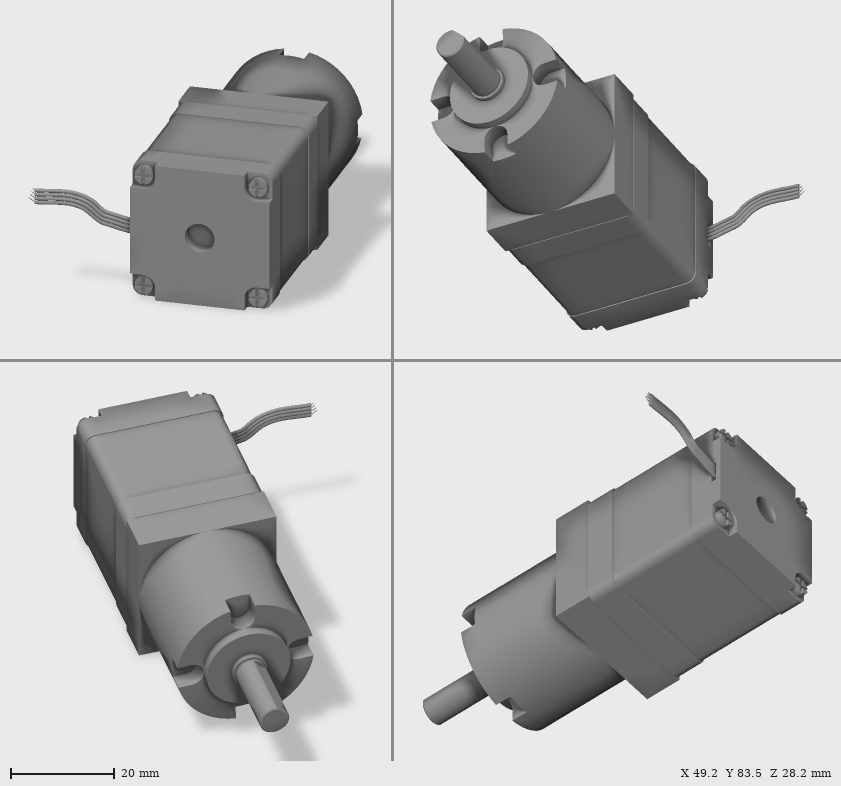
import cadquery as cq
import math


TOTAL_LENGTH = 83.5
CABLE_REACH = 35.0

MOTOR_WIDTH = 28.2
CORE_WIDTH = 27.8
CORNER_RADIUS = 2.0
REAR_CAP_LENGTH = 7.2
CORE_LENGTH = 19.9
FRONT_CAP_LENGTH = 6.0
REAR_HOLE_DIAMETER = 6.0
REAR_HOLE_DEPTH = 3.0

SCREW_OFFSET = 11.5
SCREW_HEAD_DIAMETER = 3.7
SCREW_HEAD_HEIGHT = 1.5
CORNER_COUNT = 4
POCKET_RADIUS = 2.5
POCKET_DEPTH = 2.0
CROSS_WIDTH = 0.75
CROSS_DEPTH = 0.5

SOCKET_LENGTH = 4.85
SOCKET_WIDTH = 1.25
SOCKET_DEPTH = 1.0
SOCKET_FLOOR = -MOTOR_WIDTH / 2 + SOCKET_DEPTH
CABLE_Y = 1.7
WIRE_COUNT = 4
WIRE_DIAMETER = 0.75
WIRE_PITCH = 0.8
INSULATION_REACH = 33.7
BARE_DIAMETER = 0.2
BARE_ANGLE = 34.0
BARE_LENGTH_STEP = 0.3
BARE_ROOT = 0.25
RIBBON_PATH = (
    (SOCKET_FLOOR, 0.25, 0),
    (-19.4, 1.3, 10),
    (-22.2, 3.2, 38),
    (-25.9, 4.6, 8),
    (-INSULATION_REACH, 4.3, 0),
)

GEARBOX_WIDTH = 28.0
ADAPTER_LENGTH = 8.0
RING_LENGTH = 15.9
FLANGE_LENGTH = 8.0
BOSS_DIAMETER = 17.0
BOSS_LENGTH = 2.0
COLLAR_DIAMETER = 7.0
COLLAR_LENGTH = 1.0
HEAD_ANGLE = 2.4
NOTCH_COUNT = 4
NOTCH_WIDTH = 5.0
NOTCH_DEPTH = 3.5
NOTCH_FLOOR_RADIUS = BOSS_DIAMETER / 2

SHAFT_DIAMETER = 6.0
SHAFT_CHAMFER = 0.25
FLAT_DISTANCE = 2.5
FLAT_LENGTH = 14.95
FLAT_ANGLE = 135.0

CORE_START = REAR_CAP_LENGTH
FRONT_CAP_START = CORE_START + CORE_LENGTH
ADAPTER_START = FRONT_CAP_START + FRONT_CAP_LENGTH
RING_START = ADAPTER_START + ADAPTER_LENGTH
FLANGE_START = RING_START + RING_LENGTH
BOSS_START = FLANGE_START + FLANGE_LENGTH
COLLAR_START = BOSS_START + BOSS_LENGTH
SHAFT_START = COLLAR_START + COLLAR_LENGTH
SHAFT_LENGTH = TOTAL_LENGTH - SHAFT_START


def cross_section(y):
    """Workplane at the given Y: local x is X, local y is Z, and extrusion goes towards +Y."""
    return cq.Workplane(cq.Plane(origin=(0, y, 0), xDir=(1, 0, 0), normal=(0, -1, 0)))


def square_block(start, length, width):
    return cross_section(start).rect(width, width).extrude(-length)


def rounded_block(start, length, width):
    return square_block(start, length, width).edges("|Y").fillet(CORNER_RADIUS)


def cylinder(start, length, diameter):
    return cross_section(start).circle(diameter / 2).extrude(-length)


def turned(body, degrees):
    """Turn a body about the shaft axis, from +X towards +Z."""
    return body.rotate((0, 0, 0), (0, 1, 0), -degrees)


def corner_pocket():
    """Round pocket at the +X +Z screw, opened to both outer sides of the corner."""
    pocket = cross_section(0).center(SCREW_OFFSET, SCREW_OFFSET).circle(POCKET_RADIUS).extrude(-POCKET_DEPTH)
    long_side = 2 * POCKET_RADIUS
    reach = MOTOR_WIDTH / 2 - SCREW_OFFSET + POCKET_RADIUS
    near_side = SCREW_OFFSET - POCKET_RADIUS
    for x_size, z_size, x_start, z_start in (
        (reach, long_side, SCREW_OFFSET, near_side),
        (long_side, reach, near_side, SCREW_OFFSET),
    ):
        opening = cross_section(0).rect(x_size, z_size, centered=False).extrude(-POCKET_DEPTH)
        pocket = pocket.union(opening.translate((x_start, 0, z_start)))
    return pocket


def screw_head():
    """Cross-slotted head standing on the floor of the +X +Z pocket."""
    head_top = POCKET_DEPTH - SCREW_HEAD_HEIGHT
    head = cylinder(head_top, SCREW_HEAD_HEIGHT, SCREW_HEAD_DIAMETER)
    for slot_size in ((SCREW_HEAD_DIAMETER, CROSS_WIDTH), (CROSS_WIDTH, SCREW_HEAD_DIAMETER)):
        head = head.cut(cross_section(head_top).rect(*slot_size).extrude(-CROSS_DEPTH))
    return head.translate((SCREW_OFFSET, 0, SCREW_OFFSET))


def cable_socket():
    """Shallow recess in the -X side of the motor, where the wires enter."""
    recess = cq.Workplane().box(SOCKET_DEPTH, SOCKET_WIDTH, SOCKET_LENGTH)
    return recess.translate((SOCKET_FLOOR - SOCKET_DEPTH / 2, CABLE_Y, 0))


def bare_end(insulation_end, index):
    """Straight bare core rising out of the end of an insulated wire."""
    angle = math.radians(BARE_ANGLE)
    longest = (CABLE_REACH - INSULATION_REACH) / math.cos(angle)
    length = longest - BARE_LENGTH_STEP * index
    direction = cq.Vector(-math.cos(angle), 0, math.sin(angle))
    root = insulation_end - direction * BARE_ROOT
    plane = cq.Plane(origin=root.toTuple(), xDir=(0, 1, 0), normal=direction.toTuple())
    return cq.Workplane(plane).circle(BARE_DIAMETER / 2).extrude(BARE_ROOT + length)


def wire(index):
    """One insulated wire with its bare end, counted from the bottom of the ribbon."""
    offset = WIRE_PITCH * (index - (WIRE_COUNT - 1) / 2)
    points = []
    headings = []
    for x, z, heading in RIBBON_PATH:
        angle = math.radians(heading)
        points.append(cq.Vector(x + offset * math.sin(angle), CABLE_Y, z + offset * math.cos(angle)))
        headings.append(cq.Vector(-math.cos(angle), 0, math.sin(angle)))
    path = cq.Workplane(cq.Edge.makeSpline(points, tangents=headings, scale=False))
    start = cq.Plane(origin=points[0].toTuple(), xDir=(0, 1, 0), normal=(-1, 0, 0))
    insulation = cq.Workplane(start).circle(WIRE_DIAMETER / 2).sweep(path)
    return insulation.union(bare_end(points[-1], index))


def motor():
    """Motor case with its screws and cable."""
    body = rounded_block(0, REAR_CAP_LENGTH, MOTOR_WIDTH)
    body = body.union(rounded_block(CORE_START, CORE_LENGTH, CORE_WIDTH))
    body = body.union(rounded_block(FRONT_CAP_START, FRONT_CAP_LENGTH, MOTOR_WIDTH))
    body = body.cut(cylinder(0, REAR_HOLE_DEPTH, REAR_HOLE_DIAMETER))
    body = body.cut(cable_socket())
    for corner in range(CORNER_COUNT):
        body = body.cut(turned(corner_pocket(), 360 / CORNER_COUNT * corner))
        body = body.union(turned(screw_head(), 360 / CORNER_COUNT * corner))
    for index in range(WIRE_COUNT):
        body = body.union(wire(index))
    return body.solids()


def adapter():
    return square_block(ADAPTER_START, ADAPTER_LENGTH, GEARBOX_WIDTH)


def ring_gear():
    return cylinder(RING_START, RING_LENGTH, GEARBOX_WIDTH)


def flange_notch():
    """Round-bottomed notch in the +X side of the flange, open at its front face."""
    notch_start = BOSS_START - NOTCH_DEPTH
    round_center = NOTCH_FLOOR_RADIUS + NOTCH_WIDTH / 2
    reach = GEARBOX_WIDTH / 2 + NOTCH_WIDTH
    notch = cylinder(notch_start, NOTCH_DEPTH, NOTCH_WIDTH).translate((round_center, 0, 0))
    opening = cross_section(notch_start).rect(reach, NOTCH_WIDTH).extrude(-NOTCH_DEPTH)
    return notch.union(opening.translate((round_center + reach / 2, 0, 0)))


def output_shaft():
    """Chamfered D-shaft whose flat runs back from the tip."""
    shaft = cylinder(SHAFT_START, SHAFT_LENGTH, SHAFT_DIAMETER).faces(">Y").chamfer(SHAFT_CHAMFER)
    removed = square_block(TOTAL_LENGTH - FLAT_LENGTH, FLAT_LENGTH, SHAFT_DIAMETER)
    removed = removed.translate((FLAT_DISTANCE + SHAFT_DIAMETER / 2, 0, 0))
    return shaft.cut(turned(removed, FLAT_ANGLE))


def output_head():
    """Notched flange with its boss, collar and shaft, in one piece."""
    body = cylinder(FLANGE_START, FLANGE_LENGTH, GEARBOX_WIDTH)
    for index in range(NOTCH_COUNT):
        body = body.cut(turned(flange_notch(), 360 / NOTCH_COUNT * index))
    body = body.union(cylinder(BOSS_START, BOSS_LENGTH, BOSS_DIAMETER))
    body = body.union(cylinder(COLLAR_START, COLLAR_LENGTH, COLLAR_DIAMETER))
    body = body.union(output_shaft())
    return turned(body, -HEAD_ANGLE).solids()


result = cq.Compound.makeCompound([motor().val(), adapter().val(), ring_gear().val(), output_head().val()])